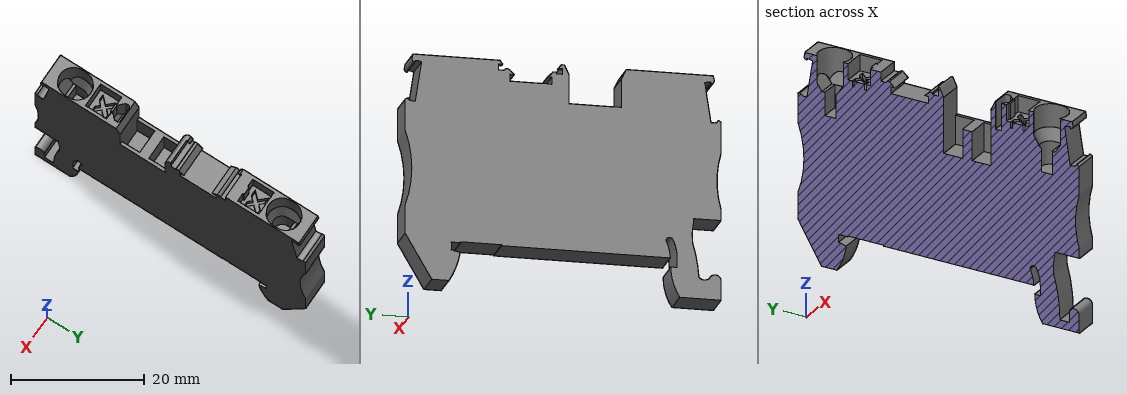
import cadquery as cq

WIDTH = 5.15
LENGTH = 48.6
HEIGHT = 35.25
HALF_W = WIDTH / 2
HALF_L = LENGTH / 2
CLEAR = 0.5

CAP_Y = 23.1
GROOVE_TOP_Y = 21.75
GROOVE_TOP_Z = 34.05
GROOVE_BOTTOM_Y = 22.75
GROOVE_BOTTOM_Z = 27.85
SHOULDER_Z = 28.05
SHOULDER_PEAK = (23.85, 28.3)
GRIP_TOP_Z = 23.15
FOOT_GRIP_BOTTOM_Z = 11.4
FOOT_GRIP_DEPTH = 1.0
SPRING_GRIP_BOTTOM_Z = 14.25
SPRING_GRIP_DEPTH = 0.65

MARKER_BAY_HIGH_Y = 9.9
MARKER_BAY_LOW_Y = 0.1
MARKER_LEDGE_Z = 33.75
MARKER_FLOOR_Z = 32.1
MARKER_FLOOR_HIGH_Y = 8.15
MARKER_FLOOR_LOW_Y = 1.75
CATCH_REACH = 0.7
CATCH_Z = 33.15
CATCH_TOP_Z = 34.0
HOOK_WIDTH = 0.87
HOOK_Z = 34.65
HOOK_REACH = 0.65
HOOK_TOP_REACH = 0.2
BRIDGE_HIGH_Y = -0.9
BRIDGE_LOW_Y = -9.0
BRIDGE_FLOOR_Z = 29.2
BRIDGE_CHAMFER_Z = MARKER_LEDGE_Z
BRIDGE_TOP_HIGH_Y = -0.3
BRIDGE_TOP_LOW_Y = -9.7

ENTRY_R = 2.4
ENTRY_Y = 18.35
ENTRY_STRETCH = 0.7
ENTRY_STRAIGHT = 3.9
FUNNEL_DEPTH = 1.95
WIRE_WIDTH = 3.05
WIRE_R = WIRE_WIDTH / 2
WIRE_FLAT_Y = 19.6
WIRE_LEDGE_Y = 20.05
WIRE_DEPTH = 9.7

BUTTON_W = 4.1
BUTTON_OUTER_Y = 15.55
BUTTON_INNER_Y = 11.75
BUTTON_DEPTH = 2.7
RIB_W = 1.35
RIB_T = 0.25
CROSS_Y = (BUTTON_OUTER_Y + BUTTON_INNER_Y) / 2
CROSS_HALF_W = 1.6
CROSS_HALF_L = 1.15
CROSS_ARM = 1.0
CROSS_DEPTH = 0.95

SHAFT_W = BUTTON_W
SHAFT_DEPTH = 4.85
SHAFT_1_END_Y = -4.2
SHAFT_2_START_Y = -5.85

PROBE_HALF_W = 1.55
PROBE_TIP_HALF_W = 0.6
PROBE_BACK_Y = -9.85
PROBE_TAPER_Y = -10.7
PROBE_TIP_Y = -11.65
PROBE_CORNER_R = 0.3
PROBE_DEPTH = 3.9
PROBE_SLOPE = 0.7

RAIL_Z = 6.08
RAIL_RELIEF = 0.15
RELIEF_HIGH_Y = 15.75
RELIEF_LOW_Y = 9.5
FOOT_TIP_Y = 15.9
FOOT_BASE_Y = 17.55
RAIL_WALL_Y = 17.2
FOOT_CHAMFER_Y = 20.2
FOOT_CHAMFER_Z = 6.95
FLEX_WALL_Y = -17.5
SPRING_TIP_Y = -16.55
SPRING_TIP_Z = 4.65
SPRING_BASE_Y = -17.95
SPRING_ROOF_Z = 12.55

RELEASE_WEB = 0.87
RELEASE_WEB_Z = 3.4
RELEASE_WALL_Y = -20.95
RELEASE_LEVER_Y = -22.55
OVERLAP = 0.1
RELEASE_FLOOR_Z = 1.45
RELEASE_NOSE_Z = 3.0


def side_start(y, z):
    """Start a Y-Z profile."""
    return cq.Workplane("YZ").moveTo(y, z)


def through(profile):
    """Close a Y-Z profile and extrude it past both side faces."""
    return profile.close().extrude(HALF_W + CLEAR, both=True)


def box(x0, x1, y0, y1, z0, z1):
    """Box between two opposite corners."""
    return cq.Workplane("XY").box(x1 - x0, y1 - y0, z1 - z0, centered=False).translate((x0, y0, z0))


def mirrored(solid):
    """The same solid at the -Y end."""
    return solid.mirror("XZ")


def end_notch():
    """Marker groove at the +Y end, with a lip on the cap above and on the shoulder below."""
    out = HALF_L + CLEAR
    return through(
        side_start(out, SHOULDER_Z).lineTo(HALF_L, SHOULDER_Z)
        .lineTo(*SHOULDER_PEAK)
        .threePointArc((23.55, 27.95), (23.2, GROOVE_BOTTOM_Z))
        .lineTo(GROOVE_BOTTOM_Y, GROOVE_BOTTOM_Z).lineTo(GROOVE_TOP_Y, GROOVE_TOP_Z)
        .lineTo(22.25, 34.2).lineTo(22.7, 34.2).lineTo(22.8, 33.95)
        .threePointArc((23.2, 34.2), (23.25, 34.55))
        .lineTo(CAP_Y, HEIGHT).lineTo(CAP_Y, HEIGHT + CLEAR).lineTo(out, HEIGHT + CLEAR)
    )


def grip(side, z_low, z_high, depth):
    """Shallow finger grip hollowed into an end face."""
    edge = side * HALF_L
    middle = (edge - side * depth, (z_low + z_high) / 2)
    return through(side_start(edge, z_low).threePointArc(middle, (edge, z_high)))


def marker_bay():
    """Stepped bay with a pair of barbed catches."""
    top = HEIGHT + CLEAR
    return through(
        side_start(MARKER_BAY_HIGH_Y, top)
        .lineTo(MARKER_BAY_HIGH_Y, MARKER_LEDGE_Z).lineTo(9.05, MARKER_LEDGE_Z)
        .threePointArc((8.8, 33.95), (8.45, CATCH_TOP_Z))
        .lineTo(MARKER_FLOOR_HIGH_Y - CATCH_REACH, CATCH_Z).lineTo(MARKER_FLOOR_HIGH_Y, CATCH_Z)
        .lineTo(MARKER_FLOOR_HIGH_Y, MARKER_FLOOR_Z).lineTo(MARKER_FLOOR_LOW_Y, MARKER_FLOOR_Z)
        .lineTo(MARKER_FLOOR_LOW_Y, CATCH_Z).lineTo(MARKER_FLOOR_LOW_Y + CATCH_REACH, CATCH_Z)
        .lineTo(1.55, CATCH_TOP_Z).lineTo(1.0, CATCH_TOP_Z)
        .lineTo(1.0, MARKER_LEDGE_Z).lineTo(MARKER_BAY_LOW_Y, MARKER_LEDGE_Z)
        .lineTo(MARKER_BAY_LOW_Y, top)
    )


def hook(wall_y, direction):
    """Short hook overhanging the marker bay at the -X face."""
    profile = (
        side_start(wall_y, HOOK_Z).lineTo(wall_y + direction * HOOK_REACH, HOOK_Z)
        .lineTo(wall_y + direction * HOOK_TOP_REACH, HEIGHT).lineTo(wall_y, HEIGHT).close()
    )
    return profile.extrude(HOOK_WIDTH).translate((-HALF_W, 0, 0))


def bridge_bay():
    """Deep bay with slanted upper edges; the ridge on its +Y side is rounded."""
    top = HEIGHT + CLEAR
    return through(
        side_start(-0.05, top).lineTo(-0.05, HEIGHT)
        .threePointArc((-0.2, 35.2), (BRIDGE_TOP_HIGH_Y, 35.05))
        .lineTo(BRIDGE_HIGH_Y, BRIDGE_CHAMFER_Z).lineTo(BRIDGE_HIGH_Y, BRIDGE_FLOOR_Z)
        .lineTo(BRIDGE_LOW_Y, BRIDGE_FLOOR_Z).lineTo(BRIDGE_LOW_Y, BRIDGE_CHAMFER_Z)
        .lineTo(BRIDGE_TOP_LOW_Y, HEIGHT).lineTo(BRIDGE_TOP_LOW_Y, top)
    )


def bridge_shafts():
    """Two rectangular shafts sunk into the bridge bay floor, one at each end."""
    z0 = BRIDGE_FLOOR_Z - SHAFT_DEPTH
    z1 = BRIDGE_FLOOR_Z
    first = box(-SHAFT_W / 2, SHAFT_W / 2, SHAFT_1_END_Y, BRIDGE_HIGH_Y, z0, z1)
    second = box(-SHAFT_W / 2, SHAFT_W / 2, BRIDGE_LOW_Y, SHAFT_2_START_Y, z0, z1)
    return first.union(second)


def rail_gap():
    """Gap for the rail: fixed foot at +Y, ceiling, flexing slot and spring foot at -Y."""
    return through(
        side_start(FOOT_BASE_Y, -CLEAR).lineTo(FOOT_BASE_Y, 0)
        .threePointArc((16.35, 2.55), (FOOT_TIP_Y, 4.2))
        .lineTo(FOOT_TIP_Y, 4.5).lineTo(RAIL_WALL_Y, 4.85).lineTo(RAIL_WALL_Y, RAIL_Z)
        .lineTo(RELIEF_HIGH_Y, RAIL_Z).lineTo(RELIEF_HIGH_Y, RAIL_Z + RAIL_RELIEF)
        .lineTo(RELIEF_LOW_Y, RAIL_Z + RAIL_RELIEF).lineTo(RELIEF_LOW_Y, RAIL_Z)
        .lineTo(-16.48, RAIL_Z)
        .threePointArc((-16.3, 7.45), (-15.85, 8.75))
        .threePointArc((-16.25, 9.3), (-16.85, 9.0))
        .threePointArc((-17.35, 7.7), (FLEX_WALL_Y, 6.3))
        .lineTo(FLEX_WALL_Y, SPRING_TIP_Z).lineTo(SPRING_TIP_Y, SPRING_TIP_Z)
        .threePointArc((-16.9, 2.2), (SPRING_BASE_Y, 0)).lineTo(SPRING_BASE_Y, -CLEAR)
    )


def spring_clearance():
    """Hollow behind the spring foot, with the screwdriver slot and the round-nosed release lever."""
    out = -HALF_L - CLEAR
    return through(
        side_start(out, SPRING_ROOF_Z).lineTo(-20.1, SPRING_ROOF_Z)
        .threePointArc((-19.9, 10.6), (-19.95, 8.7))
        .threePointArc((-20.7, 5.15), (RELEASE_WALL_Y, RELEASE_FLOOR_Z))
        .lineTo(RELEASE_LEVER_Y, RELEASE_FLOOR_Z).lineTo(RELEASE_LEVER_Y, RELEASE_WEB_Z)
        .threePointArc((-23.4, 3.95), (-HALF_L, RELEASE_NOSE_Z)).lineTo(out, RELEASE_NOSE_Z)
    )


def release_web():
    """Thin web closing the screwdriver slot at the -X face, with a hollow upper edge."""
    inner_y = RELEASE_WALL_Y + OVERLAP
    profile = (
        side_start(inner_y, RELEASE_FLOOR_Z).lineTo(inner_y, RELEASE_WEB_Z)
        .threePointArc((-21.68, 3.0), (RELEASE_LEVER_Y, RELEASE_WEB_Z))
        .lineTo(RELEASE_LEVER_Y, RELEASE_FLOOR_Z).close()
    )
    return profile.extrude(RELEASE_WEB).translate((-HALF_W, 0, 0))


def foot_chamfer():
    """Slanted outer side of the fixed foot."""
    return through(side_start(HALF_L, FOOT_CHAMFER_Z).lineTo(FOOT_CHAMFER_Y, 0).lineTo(HALF_L, 0))


def rounded_u(z, radius, far_y):
    """U-shaped sketch: semicircle toward the middle, straight sides running out to far_y."""
    return (
        cq.Workplane("XY", origin=(0, 0, z)).moveTo(-radius, far_y).lineTo(-radius, ENTRY_Y)
        .threePointArc((0, ENTRY_Y - radius), (radius, ENTRY_Y)).lineTo(radius, far_y).close()
    )


def wire_entry():
    """Oblong mouth at the +Y end, funnelling into a D-shaped shaft."""
    mouth_z = HEIGHT - ENTRY_STRAIGHT
    throat_z = mouth_z - FUNNEL_DEPTH
    outer_y = ENTRY_Y + ENTRY_STRETCH
    oblong = (
        cq.Workplane("XY", origin=(0, 0, throat_z)).moveTo(-ENTRY_R, outer_y).lineTo(-ENTRY_R, ENTRY_Y)
        .threePointArc((0, ENTRY_Y - ENTRY_R), (ENTRY_R, ENTRY_Y)).lineTo(ENTRY_R, outer_y)
        .threePointArc((0, outer_y + ENTRY_R), (-ENTRY_R, outer_y)).close()
        .extrude(HEIGHT - throat_z)
    )
    mouth = oblong.intersect(box(-HALF_W, HALF_W, 0, HALF_L, mouth_z, HEIGHT))
    wide = rounded_u(mouth_z, ENTRY_R, HALF_L).wires().val()
    narrow = rounded_u(throat_z, WIRE_R, HALF_L).wires().val()
    taper = cq.Workplane(cq.Solid.makeLoft([narrow, wide], True))
    ramp = (
        side_start(WIRE_LEDGE_Y, throat_z).lineTo(HALF_L, throat_z).lineTo(HALF_L, mouth_z)
        .lineTo(outer_y + ENTRY_R, mouth_z).close().extrude(WIRE_R, both=True)
    )
    funnel = taper.intersect(oblong).cut(ramp)
    shaft = rounded_u(HEIGHT - WIRE_DEPTH, WIRE_R, WIRE_FLAT_Y).extrude(WIRE_DEPTH)
    return mouth.union(funnel).union(shaft)


def button_pocket():
    """Pocket at the +Y end with a rib on its inner wall and a cross recess in its floor."""
    floor_z = HEIGHT - BUTTON_DEPTH
    pocket = box(-BUTTON_W / 2, BUTTON_W / 2, BUTTON_INNER_Y, BUTTON_OUTER_Y, floor_z, HEIGHT)
    rib = box(-RIB_W / 2, RIB_W / 2, BUTTON_INNER_Y, BUTTON_INNER_Y + RIB_T, floor_z, HEIGHT)
    pocket = pocket.cut(rib)
    for lean in (1, -1):
        tip = lean * CROSS_HALF_W
        shoulder = lean * (CROSS_HALF_W - CROSS_ARM)
        arm = (
            cq.Workplane("XY", origin=(0, CROSS_Y, floor_z - CROSS_DEPTH))
            .moveTo(tip, CROSS_HALF_L).lineTo(shoulder, CROSS_HALF_L)
            .lineTo(-tip, -CROSS_HALF_L).lineTo(-shoulder, -CROSS_HALF_L).close()
            .extrude(CROSS_DEPTH)
        )
        pocket = pocket.union(arm)
    return pocket


def probe_hole():
    """Tapered hole for a test probe, with a sloping face at the bottom of its narrow side."""
    bottom_z = HEIGHT - PROBE_DEPTH - PROBE_SLOPE
    hole = (
        cq.Workplane("XY", origin=(0, 0, bottom_z))
        .moveTo(-PROBE_HALF_W, PROBE_BACK_Y).lineTo(PROBE_HALF_W, PROBE_BACK_Y)
        .lineTo(PROBE_HALF_W, PROBE_TAPER_Y).lineTo(PROBE_TIP_HALF_W, PROBE_TIP_Y)
        .lineTo(-PROBE_TIP_HALF_W, PROBE_TIP_Y).lineTo(-PROBE_HALF_W, PROBE_TAPER_Y).close()
        .extrude(HEIGHT - bottom_z)
        .edges("|Z and >Y").fillet(PROBE_CORNER_R)
    )
    slope = through(
        side_start(PROBE_TIP_Y, bottom_z).lineTo(PROBE_TIP_Y + PROBE_SLOPE, bottom_z)
        .lineTo(PROBE_TIP_Y, bottom_z + PROBE_SLOPE)
    )
    return hole.cut(slope)


body = box(-HALF_W, HALF_W, -HALF_L, HALF_L, 0, HEIGHT)

for cutter in (
    end_notch(),
    mirrored(end_notch()),
    grip(1, FOOT_GRIP_BOTTOM_Z, GRIP_TOP_Z, FOOT_GRIP_DEPTH),
    grip(-1, SPRING_GRIP_BOTTOM_Z, GRIP_TOP_Z, SPRING_GRIP_DEPTH),
    marker_bay(),
    bridge_bay(),
    rail_gap(),
    spring_clearance(),
    foot_chamfer(),
):
    body = body.cut(cutter)

body = body.union(hook(MARKER_BAY_HIGH_Y, -1)).union(hook(MARKER_BAY_LOW_Y, 1))
body = body.union(release_web())

for cutter in (
    wire_entry(),
    mirrored(wire_entry()),
    button_pocket(),
    mirrored(button_pocket()),
    bridge_shafts(),
    probe_hole(),
):
    body = body.cut(cutter)

result = body